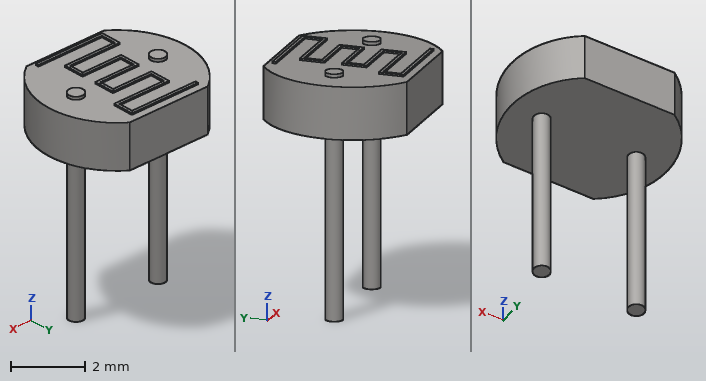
import cadquery as cq

total_height = 7.0

housing_diameter = 5.0
housing_width = 4.1
housing_height = 1.5

lead_diameter = 0.5
lead_spacing = 3.0
lead_protrusion = 0.1
housing_top = total_height - lead_protrusion
housing_bottom = housing_top - housing_height

track_width = 0.1
track_thickness = 0.05
bar_pitch = 0.6
track_end_x = 1.25
outer_turn_x = 1.12
inner_turn_x = 0.7


def make_housing():
    """Disc with parallel flats at -Y and +Y, joined to its two leads."""
    disc = (
        cq.Workplane("XY")
        .workplane(offset=housing_bottom)
        .circle(housing_diameter / 2)
        .extrude(housing_height)
    )
    flats = (
        cq.Workplane("XY")
        .workplane(offset=housing_bottom)
        .rect(housing_diameter, housing_width)
        .extrude(housing_height)
    )
    leads = (
        cq.Workplane("XY")
        .pushPoints([(-lead_spacing / 2, 0), (lead_spacing / 2, 0)])
        .circle(lead_diameter / 2)
        .extrude(total_height)
    )
    return disc.intersect(flats).union(leads)


def track_segment(start, end):
    """Straight piece of track parallel to X or Y, with square ends half a width past both points."""
    length_x = abs(end[0] - start[0]) + track_width
    length_y = abs(end[1] - start[1]) + track_width
    return (
        cq.Workplane("XY")
        .workplane(offset=total_height - track_thickness)
        .center((start[0] + end[0]) / 2, (start[1] + end[1]) / 2)
        .rect(length_x, length_y)
        .extrude(track_thickness)
    )


def make_track():
    """Seven-bar meander, symmetric under a half turn about the Z axis."""
    free_end = track_end_x - track_width / 2
    turns = [outer_turn_x, -inner_turn_x, inner_turn_x, -inner_turn_x, inner_turn_x, -outer_turn_x]
    bar_ends = [-free_end, *turns, free_end]
    bar_count = len(bar_ends) - 1
    first_bar_y = (bar_count - 1) / 2 * bar_pitch

    path = []
    for bar in range(bar_count):
        bar_y = first_bar_y - bar * bar_pitch
        path.append((bar_ends[bar], bar_y))
        path.append((bar_ends[bar + 1], bar_y))

    track = track_segment(path[0], path[1])
    for start, end in zip(path[1:], path[2:]):
        track = track.union(track_segment(start, end))
    return track.clean()


housing = make_housing()
track = make_track()

result = cq.Compound.makeCompound([housing.solids().val(), track.solids().val()])